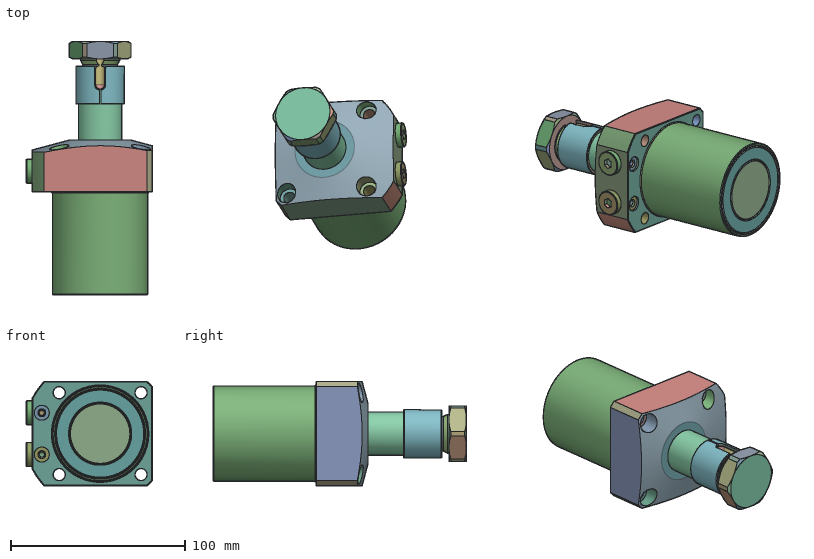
import cadquery as cq
import math


flange_thickness = 30.0
flange_half_height = 30.0
flange_left = 39.0
flange_right = 30.0
left_corner_radius = 44.0
right_corner_chamfer = 3.0
flange_edge_chamfer = 0.4
crown_flat_radius = 17.5
crown_angle = 15.0
barrel_radius = 27.5
barrel_length = 59.0
barrel_end_chamfer = 0.5
barrel_root_radius = 28.0
barrel_root_length = 0.6
mount_hole_diameter = 6.8
mount_hole_pitch = 47.0
mount_counterbore_diameter = 11.0
mount_counterbore_floor = 18.0

ring_radius = 25.6
disc_radius = 17.6
closure_thickness = 10.0
closure_chamfer = 0.55

port_z = 12.0
passage_y = 12.0
passage_diameter = 4.0
passage_depth = 8.0
plug_diameter = 14.0
plug_height = 3.5
plug_chamfer = 0.4
plug_socket_flats = 5.0
plug_socket_depth = 2.5
port_x = -33.5
port_recess_diameter = 8.6
port_recess_depth = 1.2
port_mouth_diameter = 4.5
port_bore_diameter = 3.0

rod_radius = 12.5
rod_exposed_length = 20.5
sleeve_length = 22.0
shoulder_height = 1.3
neck_radius = 10.0
neck_straight_length = 0.7
cone_height = 2.5
cone_radius = 11.3
neck_length = 4.0
head_height = 10.0
head_flats = 32.0
head_corner_diameter = 35.5
head_chamfer_angle = 30.0
groove_radius = 2.55
groove_axis_z = 12.4
groove_end_depth = 10.7

sleeve_radius = 14.0
sleeve_top_chamfer = 0.5
sleeve_bottom_chamfer = 0.3
sleeve_slot_radius = 3.2
sleeve_slit_width = 0.9

sleeve_bottom = flange_thickness + rod_exposed_length
sleeve_top = sleeve_bottom + sleeve_length
head_bottom = sleeve_top + neck_length
head_top = head_bottom + head_height
groove_end = sleeve_top - groove_end_depth


def revolve_about_y(points):
    """Solid of revolution about the Y axis from (radius, y) points."""
    profile = [(y, radius) for radius, y in points]
    return cq.Workplane("YZ").polyline(profile).close().revolve(360, (0, 0, 0), (1, 0, 0))


def plane_along_y(y):
    """Plane whose normal is +Y, with local x along +Z and local y along +X."""
    return cq.Plane(origin=(0, y, 0), xDir=(0, 0, 1), normal=(0, 1, 0))


def hexagon_diameter(flats):
    """Diameter across the corners of a hexagon with the given size across flats."""
    return flats / math.cos(math.radians(30))


def make_flange_block():
    """Flange outline with arc-cut left corners and chamfered right corners, under a conical crown."""
    left_z = math.sqrt(left_corner_radius**2 - flange_left**2)
    top_x = -math.sqrt(left_corner_radius**2 - flange_half_height**2)
    middle_angle = (math.atan2(left_z, -flange_left) + math.atan2(flange_half_height, top_x)) / 2
    middle_x = left_corner_radius * math.cos(middle_angle)
    middle_z = left_corner_radius * math.sin(middle_angle)
    right_z = flange_half_height - right_corner_chamfer
    right_x = flange_right - right_corner_chamfer
    block = (
        cq.Workplane("XZ")
        .moveTo(top_x, flange_half_height)
        .lineTo(right_x, flange_half_height)
        .lineTo(flange_right, right_z)
        .lineTo(flange_right, -right_z)
        .lineTo(right_x, -flange_half_height)
        .lineTo(top_x, -flange_half_height)
        .threePointArc((middle_x, -middle_z), (-flange_left, -left_z))
        .lineTo(-flange_left, left_z)
        .threePointArc((middle_x, middle_z), (top_x, flange_half_height))
        .close()
        .extrude(-flange_thickness)
        .faces("<Y")
        .chamfer(flange_edge_chamfer)
    )
    crown_drop = (left_corner_radius - crown_flat_radius) * math.tan(math.radians(crown_angle))
    crown = revolve_about_y([
        (0, 0),
        (left_corner_radius, 0),
        (left_corner_radius, flange_thickness - crown_drop),
        (crown_flat_radius, flange_thickness),
        (0, flange_thickness),
    ])
    return block.intersect(crown)


def make_barrel():
    """Cylinder below the flange with a flared root and a recess for the end closure."""
    recess_floor = closure_thickness - barrel_length
    return revolve_about_y([
        (0, 0),
        (barrel_root_radius, 0),
        (barrel_radius, -barrel_root_length),
        (barrel_radius, barrel_end_chamfer - barrel_length),
        (barrel_radius - barrel_end_chamfer, -barrel_length),
        (ring_radius + closure_chamfer, -barrel_length),
        (ring_radius, closure_chamfer - barrel_length),
        (ring_radius, recess_floor),
        (0, recess_floor),
    ])


def make_mount_holes():
    """Four through holes with counterbores that open on the conical crown."""
    def hole_pattern(start_y, diameter):
        return (
            cq.Workplane(plane_along_y(start_y))
            .rect(mount_hole_pitch, mount_hole_pitch, forConstruction=True)
            .vertices()
            .circle(diameter / 2)
            .extrude(flange_thickness - start_y)
        )
    return hole_pattern(0, mount_hole_diameter).union(
        hole_pattern(mount_counterbore_floor, mount_counterbore_diameter)
    )


def make_port(z):
    """Recess and countersunk bore from the mounting face, meeting a cross passage from the -X face."""
    mouth_radius = port_mouth_diameter / 2
    bore_radius = port_bore_diameter / 2
    bore = revolve_about_y([
        (0, 0),
        (port_recess_diameter / 2, 0),
        (port_recess_diameter / 2, port_recess_depth),
        (mouth_radius, port_recess_depth),
        (bore_radius, port_recess_depth + mouth_radius - bore_radius),
        (bore_radius, passage_y),
        (0, passage_y),
    ]).translate((port_x, 0, z))
    passage = (
        cq.Workplane("YZ", origin=(-flange_left, passage_y, z))
        .circle(passage_diameter / 2)
        .extrude(passage_depth)
    )
    return bore.union(passage)


def make_housing():
    """Flange and barrel in one piece, with the mounting holes and ports cut out."""
    housing = make_flange_block().union(make_barrel()).cut(make_mount_holes())
    for z in (port_z, -port_z):
        housing = housing.cut(make_port(z))
    return housing


def make_closure_ring():
    """Ring that fills the barrel recess around the closure disc, chamfered at both end-face edges."""
    end_y = -barrel_length
    inner_y = closure_thickness - barrel_length
    return revolve_about_y([
        (disc_radius, inner_y),
        (ring_radius, inner_y),
        (ring_radius, end_y + closure_chamfer),
        (ring_radius - closure_chamfer, end_y),
        (disc_radius + closure_chamfer, end_y),
        (disc_radius, end_y + closure_chamfer),
    ])


def make_closure_disc():
    """Disc in the middle of the closure ring, chamfered at its end face."""
    end_y = -barrel_length
    inner_y = closure_thickness - barrel_length
    return revolve_about_y([
        (0, inner_y),
        (disc_radius, inner_y),
        (disc_radius, end_y + closure_chamfer),
        (disc_radius - closure_chamfer, end_y),
        (0, end_y),
    ])


def make_plug(z):
    """Round plug head on the -X face with a hexagon socket."""
    seat = cq.Plane(origin=(-flange_left, passage_y, z), xDir=(0, 0, 1), normal=(-1, 0, 0))
    return (
        cq.Workplane(seat)
        .circle(plug_diameter / 2)
        .extrude(plug_height)
        .faces("<X")
        .chamfer(plug_chamfer)
        .faces("<X")
        .workplane(origin=(-flange_left - plug_height, passage_y, z))
        .transformed(rotate=(0, 0, 90))
        .polygon(6, hexagon_diameter(plug_socket_flats))
        .cutBlind(-plug_socket_depth)
    )


def make_head():
    """Hexagon head with flats facing +Z and -Z, rounded corners and 30 degree chamfers at both ends."""
    hexagon = (
        cq.Workplane(plane_along_y(head_bottom))
        .transformed(rotate=(0, 0, 90))
        .polygon(6, hexagon_diameter(head_flats))
        .extrude(head_height)
    )
    corner_radius = head_corner_diameter / 2
    end_radius = head_flats / 2
    drop = (corner_radius - end_radius) * math.tan(math.radians(head_chamfer_angle))
    envelope = revolve_about_y([
        (0, head_bottom),
        (end_radius, head_bottom),
        (corner_radius, head_bottom + drop),
        (corner_radius, head_top - drop),
        (end_radius, head_top),
        (0, head_top),
    ])
    return hexagon.intersect(envelope)


def make_rod():
    """Rod, neck, wedge cone and head, with a ball-ended groove along the +Z side."""
    neck_top = sleeve_top + neck_straight_length
    shaft = revolve_about_y([
        (0, flange_thickness),
        (rod_radius, flange_thickness),
        (rod_radius, sleeve_top - shoulder_height),
        (neck_radius, sleeve_top),
        (neck_radius, neck_top),
        (cone_radius, neck_top + cone_height),
        (cone_radius, head_bottom),
        (0, head_bottom),
    ])
    groove = (
        cq.Workplane(plane_along_y(groove_end))
        .center(groove_axis_z, 0)
        .circle(groove_radius)
        .extrude(head_bottom - groove_end)
    )
    groove_tip = cq.Workplane("XY").sphere(groove_radius).translate((0, groove_end, groove_axis_z))
    return shaft.cut(groove).cut(groove_tip).union(make_head())


def make_sleeve():
    """Sleeve around the rod, open on the +Z side by a round-ended slot that runs into a slit."""
    sleeve = revolve_about_y([
        (rod_radius, sleeve_bottom),
        (sleeve_radius - sleeve_bottom_chamfer, sleeve_bottom),
        (sleeve_radius, sleeve_bottom + sleeve_bottom_chamfer),
        (sleeve_radius, sleeve_top - sleeve_top_chamfer),
        (sleeve_radius - sleeve_top_chamfer, sleeve_top),
        (rod_radius, sleeve_top),
    ])
    slot_length = sleeve_top - groove_end
    slot_end = cq.Workplane("XY").center(0, groove_end).circle(sleeve_slot_radius).extrude(sleeve_radius)
    slot_run = (
        cq.Workplane("XY")
        .center(0, groove_end + slot_length / 2)
        .rect(2 * sleeve_slot_radius, slot_length)
        .extrude(sleeve_radius)
    )
    slit = (
        cq.Workplane("XY")
        .center(0, sleeve_bottom + sleeve_length / 2)
        .rect(sleeve_slit_width, sleeve_length)
        .extrude(sleeve_radius)
    )
    return sleeve.cut(slot_end).cut(slot_run).cut(slit)


housing = make_housing()
closure_ring = make_closure_ring()
closure_disc = make_closure_disc()
rod = make_rod()
sleeve = make_sleeve()
plugs = [make_plug(z) for z in (port_z, -port_z)]

result = cq.Compound.makeCompound([
    housing.val(),
    closure_ring.val(),
    closure_disc.val(),
    rod.val(),
    sleeve.val(),
    *[plug.val() for plug in plugs],
])